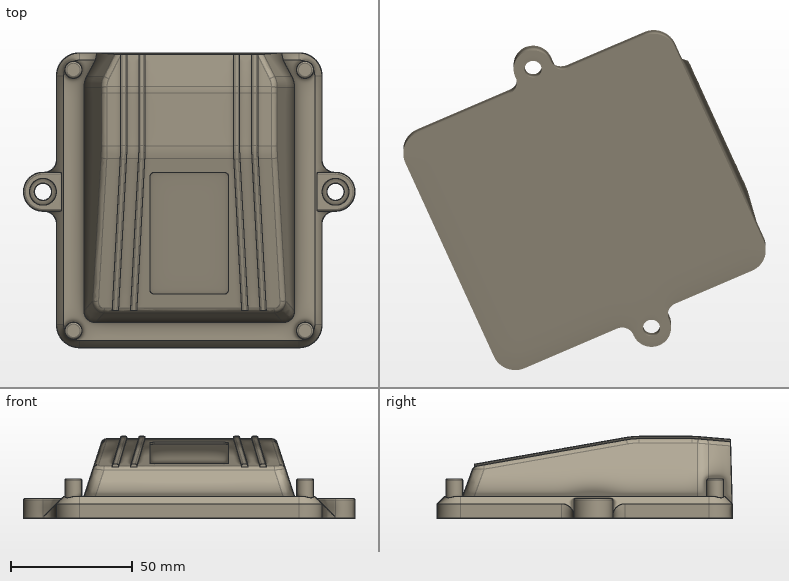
import cadquery as cq
import math

BASE_X = 109.0
BASE_Y = 121.0
BASE_HEIGHT = 9.0
BASE_CORNER_RADIUS = 9.5
BASE_CHAMFER = 3.0
RIM_HEIGHT = BASE_HEIGHT - BASE_CHAMFER

TAB_SPAN = 136.0
TAB_RADIUS = 8.0
TAB_HEIGHT = 8.2
TAB_Y = 3.5
TAB_EDGE_RADIUS = 0.75
TAB_HOLE_DIAMETER = 7.0
TAB_BORE_DIAMETER = 11.0
TAB_BORE_DEPTH = 3.0
FLARE_RADIUS = 5.0
TAB_X = TAB_SPAN / 2 - TAB_RADIUS

PIN_DIAMETER = 7.0
PIN_INSET = 7.0
PIN_TOP = 16.2
PIN_EDGE_RADIUS = 0.75

SIDE_DRAFT = math.tan(math.radians(18))
FRONT_DRAFT = math.tan(math.radians(20))
CORNER_DRAFT = math.tan(math.radians(16))
BACK_DRAFT = math.tan(math.radians(1.5))
HOUSING_HALF_X = 43.2
HOUSING_FRONT_Y = -50.1
CORNER_CUT_X = 36.9
CORNER_CUT_ANGLE = math.radians(28)
FRONT_CORNER_RADIUS = 5.0
BACK_CORNER_RADIUS = 10.0
TOP_EDGE_RADIUS = 2.5

TOTAL_HEIGHT = 33.7
RIB_HEIGHT = 1.0
ROOF_Z = TOTAL_HEIGHT - RIB_HEIGHT
FRONT_SLOPE_ANGLE = math.radians(10)
BACK_SLOPE_ANGLE = math.radians(5)
FRONT_SLOPE = math.tan(FRONT_SLOPE_ANGLE)
BACK_SLOPE = math.tan(BACK_SLOPE_ANGLE)
FRONT_BREAK_Y = 19.7
BACK_BREAK_Y = 45.3
BREAK_RADIUS = 30.0

RIB_WIDTH = 2.6
RIB_X = (19.4, 26.9)
RIB_FRONT_Y = -45.2
RIB_EDGE_RADIUS = 0.6
RIB_ROOT = 0.6
RIB_SPLAY = math.tan(math.radians(3))

LABEL_X = 32.4
LABEL_Y = 50.0
LABEL_CENTER_Y = -13.5
LABEL_DEPTH = 0.8
LABEL_CORNER_RADIUS = 2.0

OVERSHOOT = 5.0
FAR_Y = BASE_Y / 2 + OVERSHOOT


def make_base():
    block = cq.Workplane("XY").box(BASE_X, BASE_Y, BASE_HEIGHT, centered=(True, True, False))
    return block.edges("|Z").fillet(BASE_CORNER_RADIUS).faces(">Z").edges().chamfer(BASE_CHAMFER)


def make_tab(side):
    """Tab on the +X (side = 1) or -X (side = -1) edge, with its flared root and bored hole."""
    wall_x = BASE_X / 2
    root_x = wall_x - BASE_CHAMFER
    flare_x = wall_x + FLARE_RADIUS
    flare_half_y = TAB_RADIUS + FLARE_RADIUS

    flare = (
        cq.Workplane("XY")
        .moveTo(root_x, -flare_half_y)
        .lineTo(wall_x, -flare_half_y)
        .radiusArc((flare_x, -TAB_RADIUS), FLARE_RADIUS)
        .lineTo(flare_x, TAB_RADIUS)
        .radiusArc((wall_x, flare_half_y), FLARE_RADIUS)
        .lineTo(root_x, flare_half_y)
        .close()
        .extrude(BASE_HEIGHT)
    )
    chamfer_foot_x = wall_x + RIM_HEIGHT
    under_chamfer = (
        cq.Workplane("XZ")
        .polyline([(0, 0), (chamfer_foot_x, 0), (root_x, BASE_HEIGHT), (0, BASE_HEIGHT)])
        .close()
        .extrude(flare_half_y, both=True)
    )
    inner_x = root_x - BASE_CHAMFER
    plate = (
        cq.Workplane("XY")
        .moveTo(inner_x, -TAB_RADIUS)
        .lineTo(TAB_X, -TAB_RADIUS)
        .threePointArc((TAB_X + TAB_RADIUS, 0), (TAB_X, TAB_RADIUS))
        .lineTo(inner_x, TAB_RADIUS)
        .close()
        .extrude(TAB_HEIGHT)
        .faces(">Z").edges("not <X").fillet(TAB_EDGE_RADIUS)
    )
    tab = (
        plate.union(flare.intersect(under_chamfer))
        .faces("<Z").workplane(origin=(TAB_X, 0, 0))
        .circle(TAB_HOLE_DIAMETER / 2)
        .cutThruAll()
    )
    bore = (
        cq.Workplane("XY", origin=(TAB_X, 0, TAB_HEIGHT - TAB_BORE_DEPTH))
        .circle(TAB_BORE_DIAMETER / 2)
        .extrude(BASE_HEIGHT)
    )
    tab = tab.cut(bore)
    if side < 0:
        tab = tab.mirror("YZ")
    return tab.translate((0, TAB_Y, 0))


def make_pins():
    pin_x = BASE_X / 2 - PIN_INSET
    pin_y = BASE_Y / 2 - PIN_INSET
    return (
        cq.Workplane("XY", origin=(0, 0, RIM_HEIGHT))
        .rect(2 * pin_x, 2 * pin_y, forConstruction=True)
        .vertices()
        .circle(PIN_DIAMETER / 2)
        .extrude(PIN_TOP - RIM_HEIGHT)
        .faces(">Z").edges().fillet(PIN_EDGE_RADIUS)
    )


def back_wall_y(z):
    """Back wall position at height z; it rises from the back edge of the base."""
    return BASE_Y / 2 - (z - RIM_HEIGHT) * BACK_DRAFT


def housing_outline(z):
    """Plan corners of the drafted housing walls at height z."""
    rise = z - BASE_HEIGHT
    side_x = HOUSING_HALF_X - rise * SIDE_DRAFT
    front_y = HOUSING_FRONT_Y + rise * FRONT_DRAFT
    back_y = back_wall_y(z)
    cut_tan = math.tan(CORNER_CUT_ANGLE)
    cut_back_x = CORNER_CUT_X - rise * CORNER_DRAFT / math.cos(CORNER_CUT_ANGLE)
    cut_x = cut_back_x + (BASE_Y / 2 - back_y) * cut_tan
    cut_y = BASE_Y / 2 - (side_x - cut_back_x) / cut_tan
    right = [(side_x, front_y), (side_x, cut_y), (cut_x, back_y)]
    left = [(-x, y) for x, y in reversed(right)]
    return right + left


def roof_body(offset, front_y=-FAR_Y, back_y=FAR_Y):
    """Block under the roof surface raised by offset, with rounded slope breaks."""
    roof_z = ROOF_Z + offset
    front_z = roof_z - (FRONT_BREAK_Y - front_y) * FRONT_SLOPE
    back_z = roof_z - (back_y - BACK_BREAK_Y) * BACK_SLOPE
    bend_radius = BREAK_RADIUS + offset
    front_tangent = bend_radius * math.tan(FRONT_SLOPE_ANGLE / 2)
    back_tangent = bend_radius * math.tan(BACK_SLOPE_ANGLE / 2)
    front_run = front_tangent * math.cos(FRONT_SLOPE_ANGLE)
    back_run = back_tangent * math.cos(BACK_SLOPE_ANGLE)
    return (
        cq.Workplane("YZ")
        .moveTo(front_y, RIM_HEIGHT)
        .lineTo(front_y, front_z)
        .lineTo(FRONT_BREAK_Y - front_run, roof_z - front_run * FRONT_SLOPE)
        .radiusArc((FRONT_BREAK_Y + front_tangent, roof_z), bend_radius)
        .lineTo(BACK_BREAK_Y - back_tangent, roof_z)
        .radiusArc((BACK_BREAK_Y + back_run, roof_z - back_run * BACK_SLOPE), bend_radius)
        .lineTo(back_y, back_z)
        .lineTo(back_y, RIM_HEIGHT)
        .close()
        .extrude(BASE_X / 2, both=True)
    )


def make_housing():
    walls = (
        cq.Workplane("XY", origin=(0, 0, RIM_HEIGHT))
        .polyline(housing_outline(RIM_HEIGHT))
        .close()
        .workplane(offset=TOTAL_HEIGHT - RIM_HEIGHT)
        .polyline(housing_outline(TOTAL_HEIGHT))
        .close()
        .loft(ruled=True, combine=True)
    )
    walls = fillet_wall_corners(walls)
    housing = walls.intersect(roof_body(0))
    roof_front_edge = cq.selectors.BoxSelector(
        (-HOUSING_HALF_X / 2, HOUSING_FRONT_Y, ROOF_Z / 2),
        (HOUSING_HALF_X / 2, HOUSING_FRONT_Y / 2, ROOF_Z),
    )
    return housing.edges(roof_front_edge).fillet(TOP_EDGE_RADIUS)


def leaning_edges_within(y_min, y_max):
    """Selector for the leaning wall edges whose centers lie between two Y values."""
    low_z = RIM_HEIGHT + OVERSHOOT
    high_z = TOTAL_HEIGHT - OVERSHOOT
    return cq.selectors.BoxSelector((-BASE_X, y_min, low_z), (BASE_X, y_max, high_z))


def fillet_wall_corners(walls):
    """Round the leaning edges between the front, side and angled corner walls."""
    walls = walls.edges(leaning_edges_within(HOUSING_FRONT_Y, 0)).fillet(FRONT_CORNER_RADIUS)
    return walls.edges(leaning_edges_within(0, BASE_Y / 2 - OVERSHOOT)).fillet(BACK_CORNER_RADIUS)


def make_rib(x):
    """Rib over the whole roof: straight on the flat, splaying outward down the front slope."""
    back_y = back_wall_y(ROOF_Z)
    sign = math.copysign(1, x)
    front_x = x + sign * (FRONT_BREAK_Y - RIB_FRONT_Y) * RIB_SPLAY
    half = RIB_WIDTH / 2
    plan = (
        cq.Workplane("XY")
        .polyline([
            (front_x - half, RIB_FRONT_Y),
            (front_x + half, RIB_FRONT_Y),
            (x + half, FRONT_BREAK_Y),
            (x + half, back_y),
            (x - half, back_y),
            (x - half, FRONT_BREAK_Y),
        ])
        .close()
        .extrude(TOTAL_HEIGHT + OVERSHOOT)
    )
    upper = roof_body(RIB_HEIGHT, RIB_FRONT_Y, back_y)
    lower = roof_body(-RIB_ROOT)
    roof_edges = cq.selectors.BoxSelector(
        (-BASE_X, -BASE_Y, TOTAL_HEIGHT / 2), (BASE_X, BASE_Y, TOTAL_HEIGHT + OVERSHOOT)
    )
    rib = plan.intersect(upper).edges("not (|Z or |X)").edges(roof_edges).fillet(RIB_EDGE_RADIUS)
    return rib.cut(lower)


def make_label_recess():
    pocket = (
        cq.Workplane("XY", origin=(0, LABEL_CENTER_Y, BASE_HEIGHT))
        .rect(LABEL_X, LABEL_Y)
        .extrude(TOTAL_HEIGHT)
        .edges("|Z").fillet(LABEL_CORNER_RADIUS)
    )
    return pocket.cut(roof_body(-LABEL_DEPTH))


result = make_base().union(make_pins()).union(make_tab(1)).union(make_tab(-1))
result = result.union(make_housing().cut(make_label_recess()))
for rib_x in RIB_X:
    result = result.union(make_rib(rib_x)).union(make_rib(-rib_x))